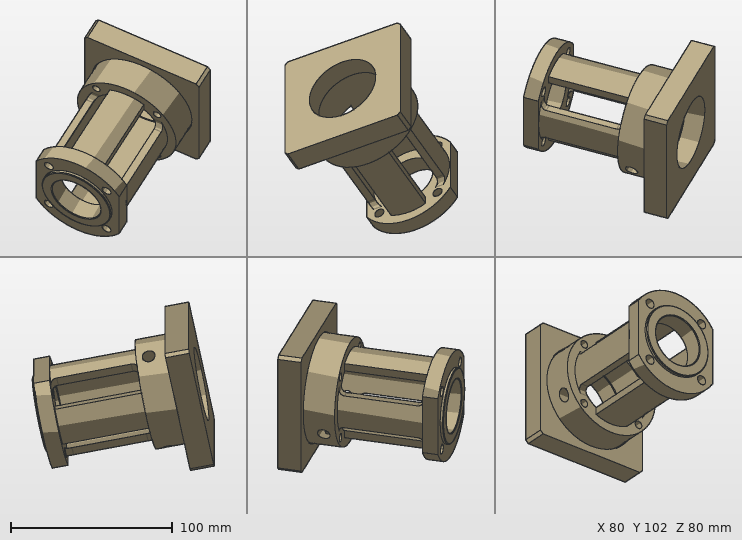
import cadquery as cq
import math

total_length = 102.0

pilot_length = 2.0
flange_length = 10.0
post_length = 55.0
hub_length = 20.0

flange_start = pilot_length
post_start = flange_start + flange_length
hub_start = post_start + post_length
plate_start = hub_start + hub_length
plate_thickness = total_length - plate_start

plate_side = 80.0
plate_corner_chamfer = 2.0
hub_diameter = 69.0
cage_diameter = 57.0
flange_diameter = 70.0
flange_flat_width = 58.0
pilot_diameter = 48.0
edge_chamfer = 0.5

front_bore_diameter = 34.0
cage_bore_diameter = 48.0
rear_bore_diameter = 46.0
rear_bore_start = plate_start + 2.0

groove_diameter = 70.0
groove_depth = 2.0

top_post_width = 23.9
side_post_height = 22.2
window_fillet = 4.0

flange_hole_diameter = 6.2
flange_hole_circle = 57.0
hub_hole_diameter = 5.2
hub_hole_circle = 60.0
hub_hole_depth = 15.0
cross_hole_diameter = 8.0
cross_hole_y = hub_start + 8.0
cross_hole_z = -15.0


def plane_at(y):
    """Plane facing +Y, centred on the main axis."""
    return cq.Workplane(cq.Plane(origin=(0, y, 0), xDir=(1, 0, 0), normal=(0, 1, 0)))


def cylinder(diameter, start, length):
    return plane_at(start).circle(diameter / 2).extrude(length)


def diagonal_holes(diameter, circle, start, depth):
    """Four drill cylinders at 45 degrees on a bolt circle."""
    spacing = circle / math.sqrt(2)
    centers = plane_at(start).rect(spacing, spacing, forConstruction=True).vertices()
    return centers.circle(diameter / 2).extrude(depth)


def make_plate():
    plate = plane_at(plate_start).rect(plate_side, plate_side).extrude(plate_thickness)
    return plate.edges("|Y").chamfer(plate_corner_chamfer)


def make_flange():
    disc = cylinder(flange_diameter, flange_start, flange_length)
    flats = plane_at(flange_start).rect(flange_flat_width, flange_diameter).extrude(flange_length)
    return disc.intersect(flats)


def make_windows():
    """Four openings, rounded only where they meet the side posts."""
    window_width = (cage_diameter - top_post_width) / 2
    window_height = (cage_diameter - side_post_height) / 2
    window = (
        cq.Workplane("XY")
        .box(window_width, post_length, window_height, centered=False)
        .edges("|X and <Z")
        .fillet(window_fillet)
        .translate((top_post_width / 2, post_start, side_post_height / 2))
    )
    upper_pair = window.union(window.mirror("YZ"))
    return upper_pair.union(upper_pair.mirror("XY"))


pilot = cylinder(pilot_diameter, 0, pilot_length).faces("<Y").chamfer(edge_chamfer)
cage = cylinder(cage_diameter, post_start, post_length)
hub = cylinder(hub_diameter, hub_start, hub_length)
body = make_plate().union(hub).union(cage).union(make_flange()).union(pilot)

body = body.cut(cylinder(front_bore_diameter, 0, post_start))
body = body.cut(cylinder(cage_bore_diameter, post_start, rear_bore_start - post_start))
body = body.cut(cylinder(rear_bore_diameter, rear_bore_start, total_length - rear_bore_start))
mouth_diameter = front_bore_diameter + 2 * edge_chamfer
mouth = cq.Solid.makeCone(mouth_diameter / 2, front_bore_diameter / 2, edge_chamfer, dir=cq.Vector(0, 1, 0))
body = body.cut(cq.Workplane(mouth))

groove = plane_at(plate_start).circle(groove_diameter / 2).circle(hub_diameter / 2).extrude(groove_depth)
body = body.cut(groove)

body = body.cut(make_windows())
body = body.cut(diagonal_holes(flange_hole_diameter, flange_hole_circle, flange_start, flange_length))
body = body.cut(diagonal_holes(hub_hole_diameter, hub_hole_circle, hub_start, hub_hole_depth))
cross_hole = (
    cq.Workplane("YZ")
    .center(cross_hole_y, cross_hole_z)
    .circle(cross_hole_diameter / 2)
    .extrude(hub_diameter / 2, both=True)
)
result = body.cut(cross_hole)